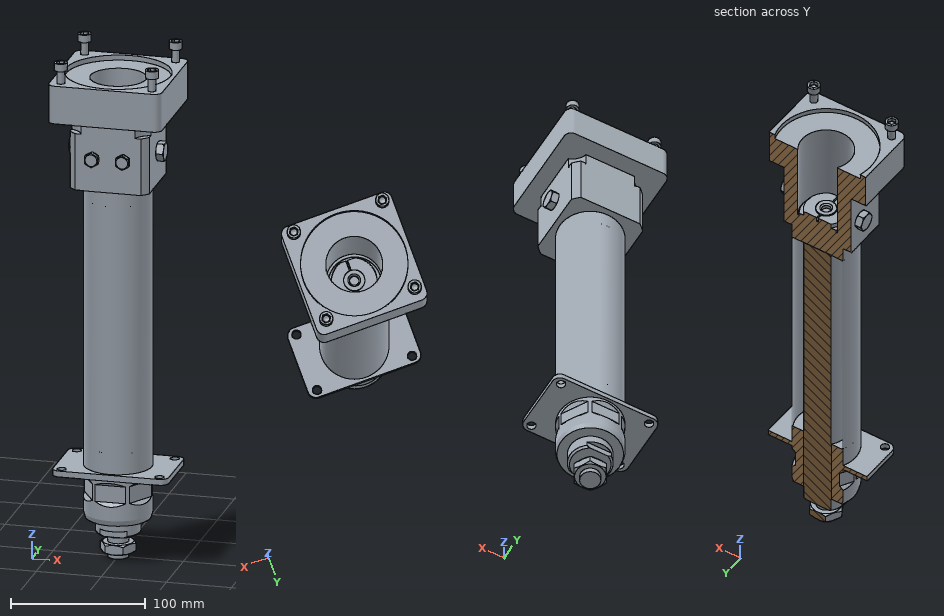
import cadquery as cq
import math

TOTAL_HEIGHT = 395.5
STUD_TOP = 16.5
ROD_SHOULDER = 19.0
WRENCH_FLAT_TOP = 24.5
COLLAR_BOTTOM = 31.5
PLATE_BOTTOM = 67.5
PLATE_TOP = 72.5
BLOCK_BOTTOM = 294.8
PLUG_HEIGHT = 320.5
FLANGE_BOTTOM = 349.8
FLANGE_TOP = 379.5

FLANGE_SIDE = 87.0
FLANGE_CORNER_RADIUS = 6.0
PILOT_DIAMETER = 80.0
PILOT_DEPTH = 4.0
BORE_DIAMETER = 42.5
BORE_FLOOR = 308.5

SEAT_DIAMETER = 39.5
SEAT_OFFSET = 1.0
SEAT_HEIGHT = 2.0
HUB_DIAMETER = 34.0
HUB_FLAT_WIDTH = 32.0
HUB_HEIGHT = 4.0
HUB_SLOT_WIDTH = 1.0
SHAFT_DIAMETER = 16.0
SHAFT_HEIGHT = 1.0
CENTRE_HOLE_DIAMETER = 7.0
CENTRE_HOLE_DEPTH = 4.0
CENTRE_HOLE_CHAMFER = 1.0

BLOCK_SIDE = 61.0
BLOCK_CORNER_DIAMETER = 79.0
RELIEF_RADIUS = 15.0
RELIEF_HEIGHT = 10.5

SIDE_PLUG_WIDTH = 13.5
SIDE_PLUG_LENGTH = 6.0
FRONT_PLUG_WIDTH = 10.0
FRONT_PLUG_FACE_DIAMETER = 9.0
FRONT_PLUG_LENGTH = 4.7
FRONT_PLUG_OFFSET = 12.0

TUBE_DIAMETER = 52.0
TUBE_BORE_DIAMETER = 50.0
CAVITY_BOTTOM = 88.5
CAVITY_TOP = 282.0
COLLAR_CHAMFER_WIDTH = 1.0
COLLAR_CHAMFER_HEIGHT = 4.0
COLLAR_HEX_WIDTH = 46.3
COLLAR_FLAT_BOTTOM = 49.5
COLLAR_FLAT_TOP = 62.5
PLATE_LENGTH = 89.0
PLATE_WIDTH = 55.8
PLATE_CORNER_RADIUS = 6.5
PLATE_HOLE_DIAMETER = 6.7
PLATE_HOLE_SPACING_X = 75.0
PLATE_HOLE_SPACING_Y = 44.7

ROD_DIAMETER = 34.0
ROD_CHAMFER = 1.5
WRENCH_FLAT_WIDTH = 27.0
NECK_DIAMETER = 13.5
STUD_DIAMETER = 16.0
NUT_BOTTOM = 4.5
NUT_THICKNESS = 8.0
NUT_WIDTH = 24.0
NUT_FACE_DIAMETER = 23.5

SCREW_SPACING = 70.0
SCREW_HEAD_DIAMETER = 10.0
SCREW_HEAD_HEIGHT = 6.0
SCREW_SHANK_DIAMETER = 6.0
SCREW_SHANK_LENGTH = 19.8
SOCKET_WIDTH = 6.0
SOCKET_DEPTH = 2.8
SOCKET_CONE_DIAMETER = 5.0
SOCKET_CONE_DEPTH = 1.0

CHAMFER_ANGLE = math.radians(30)


def cylinder(diameter, bottom, top):
    return cq.Workplane("XY").workplane(offset=bottom).circle(diameter / 2).extrude(top - bottom)


def box(length, width, bottom, top):
    return cq.Workplane("XY").workplane(offset=bottom).rect(length, width).extrude(top - bottom)


def hexagon(width, bottom, top):
    """Hexagonal prism with the given width across flats and its corners on the X axis."""
    corner_diameter = width / math.cos(math.pi / 6)
    return cq.Workplane("XY").workplane(offset=bottom).polygon(6, corner_diameter).extrude(top - bottom)


def chamfered_hexagon(width, length, face_diameter):
    """Hexagonal prism standing on Z = 0, turned conically at both ends down to round end faces."""
    face_radius = face_diameter / 2
    corner_radius = width / 2 / math.cos(math.pi / 6)
    cone_height = (corner_radius - face_radius) * math.tan(CHAMFER_ANGLE)
    turned_profile = [
        (0, 0),
        (face_radius, 0),
        (corner_radius, cone_height),
        (corner_radius, length - cone_height),
        (face_radius, length),
        (0, length),
    ]
    turned_blank = cq.Workplane("XZ").polyline(turned_profile).close().revolve(360, (0, 0), (0, 1))
    return hexagon(width, 0, length).intersect(turned_blank)


def square_pattern(spacing):
    return [(x * spacing / 2, y * spacing / 2) for x in (-1, 1) for y in (-1, 1)]


def make_flange():
    flange = box(FLANGE_SIDE, FLANGE_SIDE, FLANGE_BOTTOM, FLANGE_TOP)
    return flange.edges("|Z").fillet(FLANGE_CORNER_RADIUS)


def make_block():
    """Square block with turned corners, relieved around the four motor screws below the flange."""
    block = box(BLOCK_SIDE, BLOCK_SIDE, BLOCK_BOTTOM, FLANGE_BOTTOM)
    block = block.intersect(cylinder(BLOCK_CORNER_DIAMETER, BLOCK_BOTTOM, FLANGE_BOTTOM))
    relief = (
        cq.Workplane("XY").workplane(offset=FLANGE_BOTTOM - RELIEF_HEIGHT)
        .pushPoints(square_pattern(SCREW_SPACING)).circle(RELIEF_RADIUS).extrude(RELIEF_HEIGHT)
    )
    return block.cut(relief)


def add_plugs(housing):
    """One plug on each of the two X sides of the block and a pair on its -Y side."""
    face = BLOCK_SIDE / 2
    side_plug = chamfered_hexagon(SIDE_PLUG_WIDTH, SIDE_PLUG_LENGTH, SIDE_PLUG_WIDTH)
    side_plug = side_plug.rotate((0, 0, 0), (0, 0, 1), 90)
    for side in (-1, 1):
        plug = side_plug.rotate((0, 0, 0), (0, 1, 0), side * 90)
        housing = housing.union(plug.translate((side * face, 0, PLUG_HEIGHT)))
    front_plug = chamfered_hexagon(FRONT_PLUG_WIDTH, FRONT_PLUG_LENGTH, FRONT_PLUG_FACE_DIAMETER)
    front_plug = front_plug.rotate((0, 0, 0), (0, 0, 1), 90)
    front_plug = front_plug.rotate((0, 0, 0), (1, 0, 0), 90)
    for x in (-FRONT_PLUG_OFFSET, FRONT_PLUG_OFFSET):
        housing = housing.union(front_plug.translate((x, -face, PLUG_HEIGHT)))
    return housing


def make_tube():
    """Hollow tube closed at both ends; its lower collar has six wrench flats with sloping ends."""
    outer_radius = TUBE_DIAMETER / 2
    profile = [
        (0, COLLAR_BOTTOM),
        (outer_radius - COLLAR_CHAMFER_WIDTH, COLLAR_BOTTOM),
        (outer_radius, COLLAR_BOTTOM + COLLAR_CHAMFER_HEIGHT),
        (outer_radius, BLOCK_BOTTOM),
        (0, BLOCK_BOTTOM),
    ]
    tube = cq.Workplane("XZ").polyline(profile).close().revolve(360, (0, 0), (0, 1))
    apothem = COLLAR_HEX_WIDTH / 2
    flat_depth = outer_radius - apothem
    pocket_profile = [
        (apothem, COLLAR_FLAT_BOTTOM),
        (apothem, COLLAR_FLAT_TOP),
        (outer_radius, COLLAR_FLAT_TOP + flat_depth),
        (outer_radius, COLLAR_FLAT_BOTTOM - flat_depth),
    ]
    pocket = cq.Workplane("XZ").polyline(pocket_profile).close().extrude(outer_radius, both=True)
    for index in range(6):
        tube = tube.cut(pocket.rotate((0, 0, 0), (0, 0, 1), 30 + 60 * index))
    cavity = cylinder(TUBE_BORE_DIAMETER, CAVITY_BOTTOM, CAVITY_TOP)
    return tube.cut(cavity)


def make_plate():
    plate = box(PLATE_LENGTH, PLATE_WIDTH, PLATE_BOTTOM, PLATE_TOP).edges("|Z").fillet(PLATE_CORNER_RADIUS)
    plate = plate.faces(">Z").workplane(origin=(0, 0, PLATE_TOP))
    return plate.rarray(PLATE_HOLE_SPACING_X, PLATE_HOLE_SPACING_Y, 2, 2).hole(PLATE_HOLE_DIAMETER)


def make_shaft_end():
    """Hollow shaft in a slotted hub with two flats, on an off-centre round seat at the bore floor."""
    seat_top = BORE_FLOOR + SEAT_HEIGHT
    hub_top = seat_top + HUB_HEIGHT
    seat = cylinder(SEAT_DIAMETER, BORE_FLOOR, seat_top).translate((0, SEAT_OFFSET, 0))
    hub = cylinder(HUB_DIAMETER, seat_top, hub_top)
    hub = hub.intersect(box(HUB_DIAMETER, HUB_FLAT_WIDTH, seat_top, hub_top))
    hub = hub.cut(box(HUB_SLOT_WIDTH, HUB_DIAMETER, seat_top, hub_top))
    hub = hub.union(seat)
    shaft_top = hub_top + SHAFT_HEIGHT
    shaft = cylinder(SHAFT_DIAMETER, BORE_FLOOR, shaft_top)
    centre_hole = cylinder(CENTRE_HOLE_DIAMETER, shaft_top - CENTRE_HOLE_DEPTH, shaft_top)
    end_face = hub.union(shaft).cut(centre_hole).faces(">Z")
    return end_face.edges(cq.selectors.RadiusNthSelector(0)).chamfer(CENTRE_HOLE_CHAMFER)


def make_housing(rod, screws):
    """Flange, block, tube and plate in one piece, with matching holes for the rod and the screws."""
    housing = make_block().union(make_flange()).union(make_tube()).union(make_plate())
    housing = housing.cut(cylinder(PILOT_DIAMETER, FLANGE_TOP - PILOT_DEPTH, FLANGE_TOP))
    housing = housing.cut(cylinder(BORE_DIAMETER, BORE_FLOOR, FLANGE_TOP))
    housing = add_plugs(housing).union(make_shaft_end())
    for part in [rod, *screws]:
        housing = housing.cut(part)
    return housing


def make_rod():
    """Piston rod with wrench flats, a necked stud and the lock nut fixed on it."""
    rod = cylinder(ROD_DIAMETER, ROD_SHOULDER, CAVITY_TOP)
    rod = rod.faces("<Z").edges().chamfer(ROD_CHAMFER)
    flat_zone = box(ROD_DIAMETER, ROD_DIAMETER, ROD_SHOULDER, WRENCH_FLAT_TOP)
    rod = rod.cut(flat_zone.cut(box(ROD_DIAMETER, WRENCH_FLAT_WIDTH, ROD_SHOULDER, WRENCH_FLAT_TOP)))
    rod = rod.union(cylinder(STUD_DIAMETER, 0, STUD_TOP))
    rod = rod.union(cylinder(NECK_DIAMETER, STUD_TOP, ROD_SHOULDER))
    nut = chamfered_hexagon(NUT_WIDTH, NUT_THICKNESS, NUT_FACE_DIAMETER)
    return rod.union(nut.translate((0, 0, NUT_BOTTOM)))


def make_screw(x, y):
    """Socket head screw; the socket ends in a conical point."""
    head_bottom = TOTAL_HEIGHT - SCREW_HEAD_HEIGHT
    screw = cylinder(SCREW_HEAD_DIAMETER, head_bottom, TOTAL_HEIGHT)
    screw = screw.union(cylinder(SCREW_SHANK_DIAMETER, head_bottom - SCREW_SHANK_LENGTH, head_bottom))
    socket_floor = TOTAL_HEIGHT - SOCKET_DEPTH
    screw = screw.cut(hexagon(SOCKET_WIDTH, socket_floor, TOTAL_HEIGHT))
    cone = cq.Solid.makeCone(
        SOCKET_CONE_DIAMETER / 2, 0, SOCKET_CONE_DEPTH,
        pnt=cq.Vector(0, 0, socket_floor), dir=cq.Vector(0, 0, -1),
    )
    return screw.cut(cone).translate((x, y, 0))


rod = make_rod()
screws = [make_screw(x, y) for x, y in square_pattern(SCREW_SPACING)]
housing = make_housing(rod, screws)

result = cq.Compound.makeCompound([housing.val(), rod.val(), *[screw.val() for screw in screws]])